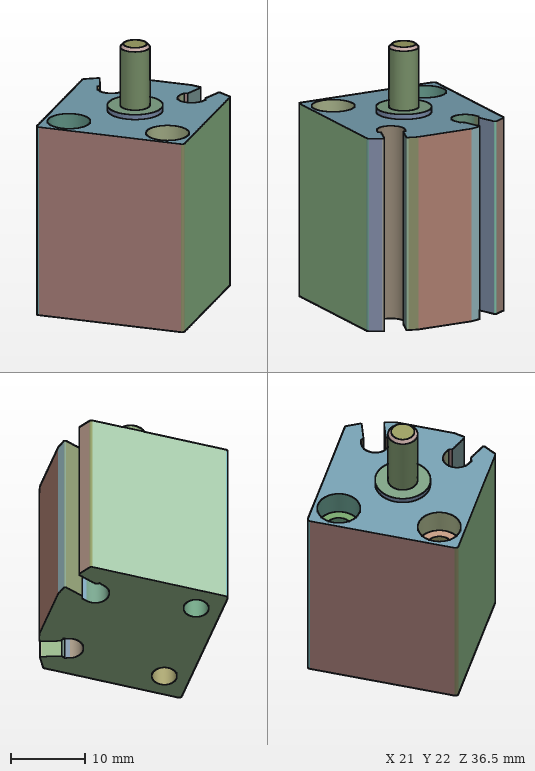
import cadquery as cq
import math

width = 21.0
depth = 22.0
height = 27
corner_radius = 0.4

flat_half_width = 4.1
inner_slope = math.radians(15)
outer_slope = math.radians(30)
shoulder_drop = 2.55
shoulder_radius = 0.4

slot_x = 5.7
slot_drop = 4.7
slot_tilt = 20
channel_diameter = 3.8
neck_width = 3.0
neck_start = 1.05
lip_start = 0.73
neck_length = 7.3
tip_radius = 0.22
tip_zone_inset = 0.3

hole_spacing = 14.0
hole_y = -7.0
hole_diameter = 3.4
counterbore_diameter = 5.8
counterbore_depth = 3.3

rod_diameter = 4
rod_bottom = 3.65
rod_top = 36.5
rod_chamfer = 0.45
collar_diameter = 7.5
collar_height = 0.7

back_y = 11.55
front_y = back_y - depth


def make_block():
    """Block whose back face slopes down in two steps towards each side."""
    side_x = width / 2
    shoulder_y = back_y - shoulder_drop
    inner_run = (
        (shoulder_drop - (side_x - flat_half_width) * math.tan(outer_slope))
        / (math.tan(inner_slope) - math.tan(outer_slope))
    )
    bend_x = flat_half_width + inner_run
    bend_y = back_y - inner_run * math.tan(inner_slope)
    outline = [
        (-side_x, front_y),
        (side_x, front_y),
        (side_x, shoulder_y),
        (bend_x, bend_y),
        (flat_half_width, back_y),
        (-flat_half_width, back_y),
        (-bend_x, bend_y),
        (-side_x, shoulder_y),
    ]
    block = cq.Workplane("XY").polyline(outline).close().extrude(height)
    block = block.edges("|Z and <Y").fillet(corner_radius)
    return block.edges("|Z and (<X or >X)").edges(">Y").fillet(shoulder_radius)


def make_slot_cutter(side):
    """Full-height slot cutter; side is +1 for +X and -1 for -X."""
    neck_half = neck_width / 2
    channel_radius = channel_diameter / 2
    slot = (
        cq.Workplane("XY")
        .moveTo(-channel_radius, 0)
        .lineTo(-channel_radius, lip_start)
        .lineTo(-neck_half, neck_start)
        .lineTo(-neck_half, neck_length)
        .lineTo(neck_half, neck_length)
        .lineTo(neck_half, neck_start)
        .lineTo(channel_radius, lip_start)
        .lineTo(channel_radius, 0)
        .threePointArc((0, -channel_radius), (-channel_radius, 0))
        .close()
        .extrude(height)
    )
    slot = slot.rotate((0, 0, 0), (0, 0, 1), -side * slot_tilt)
    return slot.translate((side * slot_x, back_y - slot_drop, 0))


def make_housing():
    housing = make_block()
    for side in (-1, 1):
        housing = housing.cut(make_slot_cutter(side))
    mouth_tips = cq.selectors.BoxSelector(
        (-width / 2 + tip_zone_inset, back_y - shoulder_drop + tip_zone_inset, 0),
        (width / 2 - tip_zone_inset, back_y - tip_zone_inset, height),
    )
    housing = housing.edges("|Z").edges(mouth_tips).fillet(tip_radius)
    housing = (
        housing.faces(">Z").workplane(origin=(0, 0, height))
        .pushPoints([(-hole_spacing / 2, hole_y), (hole_spacing / 2, hole_y)])
        .cboreHole(hole_diameter, counterbore_diameter, counterbore_depth)
    )
    collar = cq.Workplane("XY").workplane(offset=height).circle(collar_diameter / 2).extrude(collar_height)
    return housing.union(collar).cut(make_rod())


def make_rod():
    rod = cq.Workplane("XY").workplane(offset=rod_bottom).circle(rod_diameter / 2).extrude(rod_top - rod_bottom)
    return rod.faces(">Z").chamfer(rod_chamfer)


housing = make_housing()
rod = make_rod()
result = cq.Compound.makeCompound([housing.val(), rod.val()])